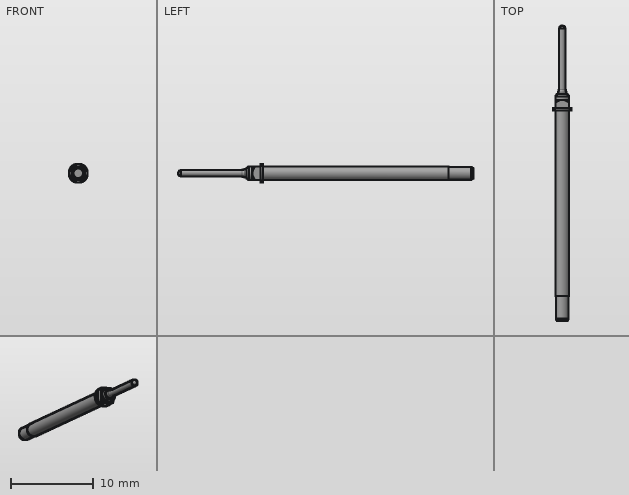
import cadquery as cq
length = 35.8
tail_y = -length / 2
tip_y = length / 2

tip_radius = 0.35
rod_diameter = 0.82
rod_radius = rod_diameter / 2
lip_radius = 0.5
step_radius = 0.6
body_diameter = 1.7
body_radius = body_diameter / 2
flange_radius = 1.15
tail_radius = 0.8
tail_chamfer_length = 0.3
tail_chamfer_depth = 0.18

flange_back_y = 7.6
flange_thickness = 0.32
square_length = 1.0
shoulder_length = 0.4
shoulder_cone_length = 0.32
lip_length = 0.2
neck_cone_length = 0.32
tail_length = 3.0

flange_front_y = flange_back_y + flange_thickness
square_front_y = flange_front_y + square_length
shoulder_y = square_front_y + shoulder_length
step_y = shoulder_y + shoulder_cone_length
lip_y = step_y + lip_length
neck_y = lip_y + neck_cone_length
tail_joint_y = tail_y + tail_length

square_width = 1.65
square_corner_radius = flange_radius
square_cone_length = 0.3
square_half_width = square_width / 2


def revolve_about_axis(outline):
    return outline.close().revolve(360, (0, 0, 0), (0, 1, 0))


def turned_pin():
    """Round parts: tail, body, flange, stepped neck, rod and domed tip."""
    outline = (
        cq.Workplane("XY")
        .moveTo(0, tail_y)
        .lineTo(tail_radius - tail_chamfer_depth, tail_y)
        .lineTo(tail_radius, tail_y + tail_chamfer_length)
        .lineTo(tail_radius, tail_joint_y)
        .lineTo(body_radius, tail_joint_y)
        .lineTo(body_radius, flange_back_y)
        .lineTo(flange_radius, flange_back_y)
        .lineTo(flange_radius, flange_front_y)
        .lineTo(square_half_width, flange_front_y)
        .lineTo(square_half_width, square_front_y)
        .lineTo(body_radius, square_front_y)
        .lineTo(body_radius, shoulder_y)
        .lineTo(step_radius, step_y)
        .lineTo(lip_radius, step_y)
        .lineTo(lip_radius, lip_y)
        .lineTo(rod_radius, neck_y)
        .lineTo(rod_radius, tip_y - tip_radius)
        .lineTo(tip_radius, tip_y - tip_radius)
        .radiusArc((0, tip_y), -tip_radius)
    )
    return revolve_about_axis(outline)


def square_collar():
    """Square prism with corners turned round and coned off toward the tip."""
    cone_start_y = square_front_y - square_cone_length
    turned_blank = revolve_about_axis(
        cq.Workplane("XY")
        .moveTo(0, flange_front_y)
        .lineTo(square_corner_radius, flange_front_y)
        .lineTo(square_corner_radius, cone_start_y)
        .lineTo(square_half_width, square_front_y)
        .lineTo(0, square_front_y)
    )
    square_bar = cq.Workplane("XY").box(square_width, length, square_width)
    return turned_blank.intersect(square_bar)


result = turned_pin().union(square_collar())